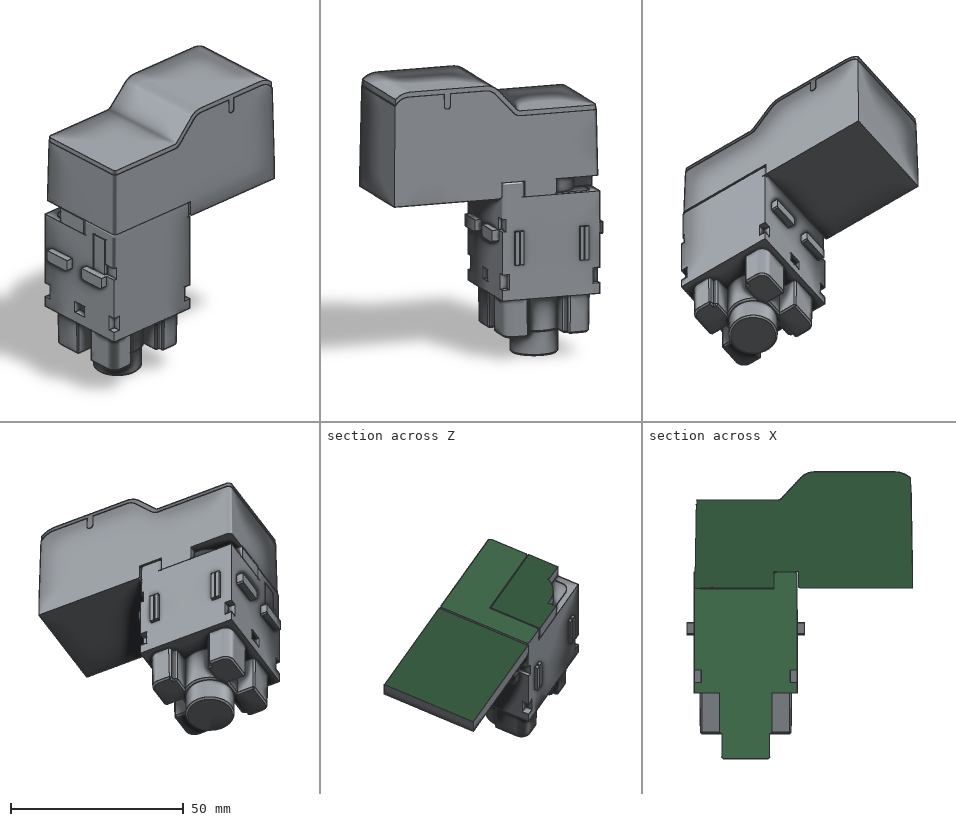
import cadquery as cq
import math

BLOCK_X = 29.4
BLOCK_Y = 29.9
LEDGE_Z = 30.4
SEAM_Z = 35.1
WALL_EDGE_R = 1.0
RECESS_RIM = 1.8
RECESS_DEPTH = 0.25
RECESS_CORNER_R = 2.5

BOSS_X, BOSS_OUT = 8.5, 2.1
BOSS_CENTRES = (-7.3, 7.3)
BOSS_TOP, BOSS_BOTTOM = 20.45, 16.9
BOSS_CHAMFER = 0.4
RIB_OUT, RIB_BOTTOM = 0.9, 10.5
RIB_WIDTH = 1.2
RIB_CENTRES = (-10.7, -9.3, 9.2, 10.7)
CORNER_NOTCH, CORNER_NOTCH_BOTTOM, CORNER_NOTCH_TOP = 2.1, 3.15, 7.7
WINDOW_X, WINDOW_DEPTH = 4.15, 2.1
WINDOW_BOTTOM, WINDOW_TOP = 3.15, 6.65
STEP_X, STEP_DEPTH, STEP_TOP = 3.6, 1.0, 24.1
LATCH_LEFT, LATCH_RIGHT, LATCH_TOP = 5.8, 11.1, 32.25
LATCH_SIDE_GAP, LATCH_END_GAP, LATCH_GAP_DEPTH = 0.4, 0.2, 0.8

LOBE_X, LOBE_Y, LOBE_HEIGHT = 25.5, 26.6, 11.8
LOBE_CORNER_R, LOBE_TAPER, LOBE_CHAMFER = 2.8, 0.8, 0.5
FRONT_SLOT_WIDTH, FRONT_SLOT_DEPTH = 5.15, 5.65
SIDE_SLOT_OUTER_WIDTH, SIDE_SLOT_OUTER_DEPTH = 12.3, 1.7
SIDE_SLOT_INNER_WIDTH, SIDE_SLOT_INNER_DEPTH = 9.9, 7.1
SLOT_CHAMFER = 0.6
CORE_R = 7.65
TIP_R, TIP_Z, TIP_CHAMFER = 7.0, -19.0, 0.5

HOOD_REAR_Y = 48.3
HOOD_FRONT_Y = -14.7
HOOD_TOP_Z = 64.1
HOOD_LOW_Z = 55.9
SLOPE_FOOT_Y, SLOPE_HEAD_Y = 9.9, 17.5
SLOPE_FOOT_R, SLOPE_HEAD_R = 1.4, 5.5
CROWN_R, CROWN_Y = 6.7, 5.2
DRAFT = 1.0
HOOD_CORNER_R = 1.2
CAP_BAND = 1.4
CAP_INSET = 0.125
CAP_CROWN_R, CAP_CROWN_Y = 4.8, 4.65
CAP_TAB_Y, CAP_TAB_WIDTH, CAP_TAB_BOTTOM = 31.75, 1.9, 58.2

SKIRT_GAP = 0.25
TAB_END_X, TAB_END_Y = -8.1, -1.7
TAB_EDGE_X, TAB_EDGE_Y = 1.7, 8.1
SIDE_TAB_THICK, FRONT_TAB_THICK = 2.6, 5.3
POST_R = 8.1
SKIRT_CHAMFER = 0.4
TAB_END_R = 0.4


def box(x0, x1, y0, y1, z0, z1):
    """Block between two opposite corners."""
    size = (x1 - x0, y1 - y0, z1 - z0)
    return cq.Workplane("XY").box(*size, centered=False).translate((x0, y0, z0))


def nearest(point):
    """Selector for the edge whose centre is nearest to `point`."""
    return cq.selectors.NearestToPointSelector(point)


def with_half_turn(shape):
    """The shape and its copy turned half a turn about Z."""
    return shape.union(shape.rotate((0, 0, 0), (0, 0, 1), 180))


HALF_X = BLOCK_X / 2
HALF_Y = BLOCK_Y / 2


def tall_walls():
    """L-shaped walls that rise from the ledge to the seam, rounded on their outer edges."""
    corners = [
        (TAB_EDGE_X, -HALF_Y),
        (HALF_X, -HALF_Y),
        (HALF_X, HALF_Y),
        (-HALF_X, HALF_Y),
        (-HALF_X, TAB_EDGE_Y),
    ]
    outline = corners + [(TAB_EDGE_X, TAB_EDGE_Y)]
    walls = cq.Workplane("XY").workplane(offset=LEDGE_Z).polyline(outline).close().extrude(SEAM_Z - LEDGE_Z)
    for x, y in corners:
        upright = nearest((x, y, (LEDGE_Z + SEAM_Z) / 2))
        walls = walls.edges(upright).fillet(WALL_EDGE_R)
    front_rim = nearest((HALF_X / 2, -HALF_Y, SEAM_Z))
    return walls.edges(front_rim).fillet(WALL_EDGE_R)


def middle_block():
    """Block from the boss tops up to the ledge, with the two stepped corners rounded."""
    middle = box(-HALF_X, HALF_X, -HALF_Y, HALF_Y, BOSS_TOP, LEDGE_Z)
    stepped = middle.edges("|Z and >X and <Y").add(middle.edges("|Z and <X and >Y"))
    return stepped.fillet(WALL_EDGE_R)


def ledge_recess():
    """Shallow recess that leaves a rim along the open ledge."""
    recess = box(
        RECESS_RIM - HALF_X, TAB_EDGE_X, RECESS_RIM - HALF_Y, TAB_EDGE_Y, LEDGE_Z - RECESS_DEPTH, LEDGE_Z
    )
    return recess.edges("|Z and <X and <Y").fillet(RECESS_CORNER_R)


def bosses():
    """Two bosses on the front face and two on the rear face."""
    spread = cq.Workplane("XY")
    for centre in BOSS_CENTRES:
        boss = box(
            centre - BOSS_X / 2, centre + BOSS_X / 2, -HALF_Y - BOSS_OUT, -HALF_Y, BOSS_BOTTOM, BOSS_TOP
        )
        spread = spread.union(boss.edges("|Y and <Z").chamfer(BOSS_CHAMFER))
    return with_half_turn(spread)


def ribs():
    """Two pairs of upright ribs on the left face."""
    spread = cq.Workplane("XY")
    for centre in RIB_CENTRES:
        rib = box(
            -HALF_X - RIB_OUT, -HALF_X, centre - RIB_WIDTH / 2, centre + RIB_WIDTH / 2, RIB_BOTTOM, BOSS_TOP
        )
        spread = spread.union(rib)
    return spread


def corner_notches():
    """Square notches in the four upright edges near the bottom."""
    height = CORNER_NOTCH_TOP - CORNER_NOTCH_BOTTOM
    return (
        cq.Workplane("XY")
        .workplane(offset=CORNER_NOTCH_BOTTOM)
        .rect(BLOCK_X, BLOCK_Y, forConstruction=True)
        .vertices()
        .rect(2 * CORNER_NOTCH, 2 * CORNER_NOTCH)
        .extrude(height)
    )


def corner_step():
    """Set-back beside the latch, from the boss tops up to the rounded upright edge."""
    return box(HALF_X - STEP_X, HALF_X, -HALF_Y, -HALF_Y + STEP_DEPTH, BOSS_TOP, STEP_TOP)


def window():
    """Small rectangular pocket low on the front face."""
    return box(-WINDOW_X / 2, WINDOW_X / 2, -HALF_Y, -HALF_Y + WINDOW_DEPTH, WINDOW_BOTTOM, WINDOW_TOP)


def latch_groove():
    """Narrow groove around the latch tongue on the front face."""
    floor_y = -HALF_Y + LATCH_GAP_DEPTH
    around = box(LATCH_LEFT, LATCH_RIGHT, -HALF_Y, floor_y, BOSS_TOP, LATCH_TOP)
    tongue = box(
        LATCH_LEFT + LATCH_SIDE_GAP,
        LATCH_RIGHT - LATCH_SIDE_GAP,
        -HALF_Y,
        floor_y,
        BOSS_TOP + LATCH_END_GAP,
        LATCH_TOP - LATCH_END_GAP,
    )
    return around.cut(tongue)


def plug_slot(width, mouth, depth):
    """Slot with a chamfered mouth, entering from -X at X = -mouth and `depth` deep."""
    half = width / 2
    points = [
        (-mouth, half + SLOT_CHAMFER),
        (-mouth + SLOT_CHAMFER, half),
        (-mouth + depth, half),
        (-mouth + depth, -half),
        (-mouth + SLOT_CHAMFER, -half),
        (-mouth, -half - SLOT_CHAMFER),
    ]
    return cq.Workplane("XY").polyline(points).close().extrude(-LOBE_HEIGHT)


def plug():
    """Four-lobed plug with a round core and a round tip."""
    front_slot = plug_slot(FRONT_SLOT_WIDTH, LOBE_Y / 2, FRONT_SLOT_DEPTH).rotate((0, 0, 0), (0, 0, 1), 90)
    outer_slot = plug_slot(SIDE_SLOT_OUTER_WIDTH, LOBE_X / 2, SIDE_SLOT_OUTER_DEPTH)
    outer_floor = LOBE_X / 2 - SIDE_SLOT_OUTER_DEPTH
    inner_slot = plug_slot(SIDE_SLOT_INNER_WIDTH, outer_floor, SIDE_SLOT_INNER_DEPTH - SIDE_SLOT_OUTER_DEPTH)
    core = cq.Workplane("XY").circle(CORE_R).extrude(-LOBE_HEIGHT)
    lobes = (
        cq.Workplane("XY")
        .rect(LOBE_X, LOBE_Y)
        .extrude(-LOBE_HEIGHT, taper=LOBE_TAPER)
        .edges("not(|X or |Y)")
        .fillet(LOBE_CORNER_R)
        .cut(with_half_turn(outer_slot.union(inner_slot)))
        .union(core)
        .cut(with_half_turn(front_slot))
        .faces("<Z")
        .edges()
        .chamfer(LOBE_CHAMFER)
    )
    tip = cq.Workplane("XY").circle(TIP_R).extrude(TIP_Z).faces("<Z").chamfer(TIP_CHAMFER)
    return lobes.union(tip)


connector = (
    box(-HALF_X, HALF_X, -HALF_Y, HALF_Y, 0, BOSS_TOP)
    .union(middle_block())
    .union(tall_walls())
    .cut(ledge_recess())
    .cut(corner_notches())
    .cut(with_half_turn(corner_step()))
    .cut(with_half_turn(window()))
    .cut(latch_groove())
    .union(bosses())
    .union(ribs())
    .union(plug())
)



def hood_side_profile(drop, crown_r, crown_y):
    """Solid as wide as the hood whose upper outline lies `drop` below the top of the hood."""
    slope = math.atan2(HOOD_TOP_Z - HOOD_LOW_Z, SLOPE_HEAD_Y - SLOPE_FOOT_Y)
    shift = drop * math.tan(slope / 2)
    top_z = HOOD_TOP_Z - drop
    low_z = HOOD_LOW_Z - drop
    crown_start_y = HOOD_REAR_Y - crown_y
    crown_z = top_z - crown_r
    crown_end_z = crown_z + math.sqrt(crown_r**2 - crown_y**2)
    crown_mid = math.asin(crown_y / crown_r) / 2
    head_y = SLOPE_HEAD_Y + shift
    foot_y = SLOPE_FOOT_Y + shift
    profile = (
        cq.Workplane("YZ")
        .moveTo(HOOD_FRONT_Y, SEAM_Z)
        .lineTo(HOOD_FRONT_Y, low_z)
        .lineTo(foot_y, low_z)
        .lineTo(head_y, top_z)
        .lineTo(crown_start_y, top_z)
        .threePointArc(
            (crown_start_y + crown_r * math.sin(crown_mid), crown_z + crown_r * math.cos(crown_mid)),
            (HOOD_REAR_Y, crown_end_z),
        )
        .lineTo(HOOD_REAR_Y, SEAM_Z)
        .close()
        .extrude(HALF_X, both=True)
    )
    foot = nearest((0, foot_y, low_z))
    head = nearest((0, head_y, top_z))
    return profile.edges(foot).fillet(SLOPE_FOOT_R + drop).edges(head).fillet(SLOPE_HEAD_R - drop)


def drafted_block(inset):
    """Tapered block that bounds the hood, drawn in by `inset` on the sides and at both ends."""
    length = HOOD_REAR_Y - HOOD_FRONT_Y
    return (
        cq.Workplane("XY")
        .workplane(offset=SEAM_Z)
        .center(0, (HOOD_REAR_Y + HOOD_FRONT_Y) / 2)
        .rect(BLOCK_X - 2 * inset, length - 2 * inset)
        .extrude(HOOD_TOP_Z - SEAM_Z, taper=DRAFT)
        .edges("not(|X or |Y)")
        .edges("<Y")
        .fillet(HOOD_CORNER_R)
    )


def cap_tab():
    """Round-ended tab that carries the inset of the cap band down both sides."""
    radius = CAP_TAB_WIDTH / 2
    return (
        cq.Workplane("YZ")
        .moveTo(CAP_TAB_Y - radius, HOOD_TOP_Z)
        .lineTo(CAP_TAB_Y - radius, CAP_TAB_BOTTOM + radius)
        .threePointArc((CAP_TAB_Y, CAP_TAB_BOTTOM), (CAP_TAB_Y + radius, CAP_TAB_BOTTOM + radius))
        .lineTo(CAP_TAB_Y + radius, HOOD_TOP_Z)
        .close()
        .extrude(HALF_X, both=True)
    )


def hood_shell():
    """Drafted upper part of the hood with its slightly inset cap band."""
    whole = hood_side_profile(0, CROWN_R, CROWN_Y)
    below_cap = hood_side_profile(CAP_BAND, CAP_CROWN_R, CAP_CROWN_Y).cut(cap_tab())
    return whole.intersect(drafted_block(CAP_INSET)).union(below_cap.intersect(drafted_block(0)))


def post_wall():
    """Block under the hood behind the two tabs; its convex front joins their inner edges."""
    side_x, side_y = -HALF_X + SIDE_TAB_THICK, TAB_END_Y + TAB_END_R
    front_x, front_y = TAB_END_X + TAB_END_R, -HALF_Y + FRONT_TAB_THICK
    half_chord = math.dist((side_x, side_y), (front_x, front_y)) / 2
    bulge = math.sqrt(POST_R**2 - half_chord**2) - POST_R
    return (
        cq.Workplane("XY")
        .workplane(offset=LEDGE_Z)
        .moveTo(side_x, side_y)
        .sagittaArc((front_x, front_y), bulge)
        .lineTo(TAB_EDGE_X, front_y)
        .lineTo(TAB_EDGE_X, TAB_EDGE_Y)
        .lineTo(side_x, TAB_EDGE_Y)
        .close()
        .extrude(SEAM_Z - LEDGE_Z)
    )


def skirt():
    """Tabs joined by a convex wall over the ledge, and the deeper rear part of the hood."""
    side_tab = box(-HALF_X, -HALF_X + SIDE_TAB_THICK, TAB_END_Y, TAB_EDGE_Y, LEDGE_Z, SEAM_Z)
    side_tab = side_tab.edges("|Z and <Y and >X").fillet(TAB_END_R)
    side_tab = side_tab.edges("<Y and <Z").chamfer(SKIRT_CHAMFER)
    front_tab = box(TAB_END_X, TAB_EDGE_X, -HALF_Y, -HALF_Y + FRONT_TAB_THICK, LEDGE_Z, SEAM_Z)
    front_tab = front_tab.edges("|Z and <X and >Y").fillet(TAB_END_R)
    front_tab = front_tab.edges("<X and <Z").chamfer(SKIRT_CHAMFER)
    rear = box(-HALF_X, HALF_X, HALF_Y + SKIRT_GAP, HOOD_REAR_Y, LEDGE_Z, SEAM_Z)
    rear = rear.edges("<Y and <Z").chamfer(SKIRT_CHAMFER)
    return post_wall().union(side_tab).union(front_tab).union(rear)


hood = hood_shell().union(skirt())

result = cq.Compound.makeCompound([connector.val(), hood.val()])